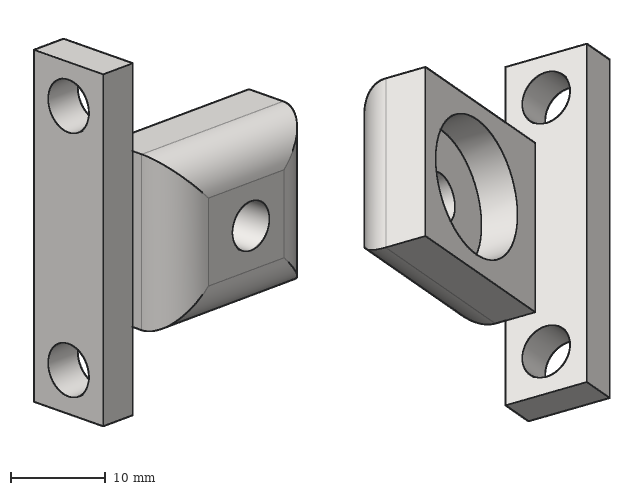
import cadquery as cq

plate_width = 10.25
plate_thickness = 4.5
plate_height = 40.0
plate_hole_diameter = 6.0
plate_hole_inset = 5.0

total_width = 16.5
total_depth = 26.0
block_width = 10.0
block_height = 20.0
edge_radius = 5.0
block_depth = total_depth - plate_thickness
block_left = total_width - block_width

bore_y = total_depth - block_height / 2
counterbore_diameter = 16.0
counterbore_depth = 4.5
bore_diameter = 5.6


def cylinder_along_x(diameter, length):
    """Cutter that starts at the left face of the block."""
    return (
        cq.Workplane("YZ", origin=(block_left, bore_y, 0))
        .circle(diameter / 2)
        .extrude(length)
    )


def mounting_plate():
    plate = cq.Workplane("XY").box(
        plate_width, plate_thickness, plate_height, centered=(False, False, True)
    )
    hole_z = plate_height / 2 - plate_hole_inset
    holes = (
        cq.Workplane("XZ", origin=(plate_width / 2, 0, 0))
        .pushPoints([(0, -hole_z), (0, hole_z)])
        .circle(plate_hole_diameter / 2)
        .extrude(-plate_thickness)
    )
    return plate.cut(holes)


def rounded_block():
    block = cq.Workplane("XY", origin=(block_left, plate_thickness, 0)).box(
        block_width, block_depth, block_height, centered=(False, False, True)
    )
    block = block.faces(">X").edges().fillet(edge_radius)
    block = block.cut(cylinder_along_x(counterbore_diameter, counterbore_depth))
    return block.cut(cylinder_along_x(bore_diameter, block_width))


result = mounting_plate().union(rounded_block())